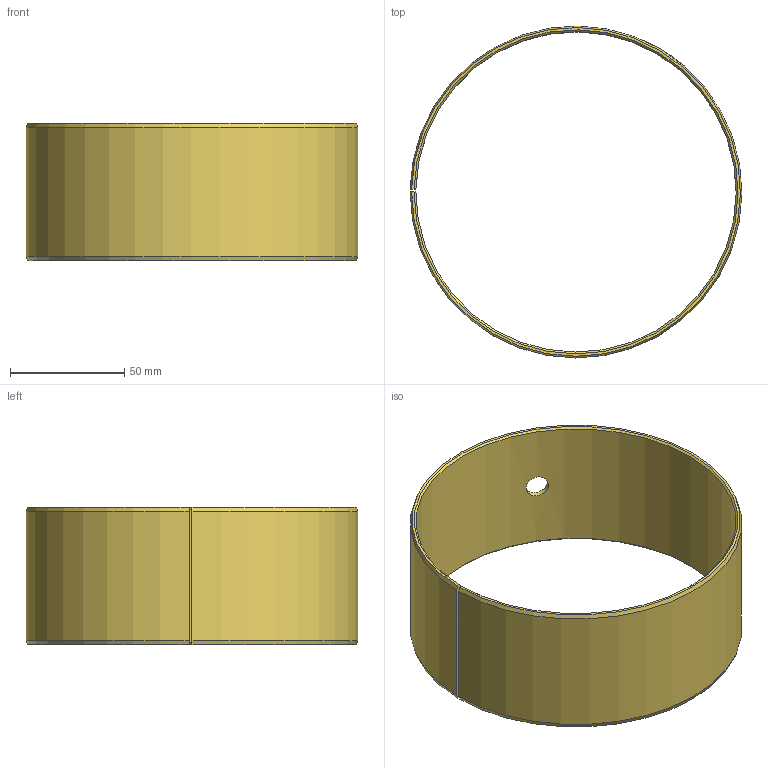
import cadquery as cq
import math

outer_diameter = 145.0
wall_thickness = 2.5
ring_height = 60.0
outer_chamfer_height = 1.8
outer_chamfer_angle = 20.0
inner_chamfer = 0.8
slit_angle = 1.0
hole_diameter = 10.0
start_angle = 180.0
hole_offset_angle = 120.0

outer_radius = outer_diameter / 2
inner_radius = outer_radius - wall_thickness
outer_chamfer_depth = outer_chamfer_height * math.tan(math.radians(outer_chamfer_angle))
sweep_angle = 360 - slit_angle
hole_angle = start_angle + sweep_angle - hole_offset_angle
hole_height = ring_height / 2
hole_cutter_length = outer_radius + wall_thickness


def make_ring():
    """Open ring with chamfered rims, swept about Z from the -X direction up to the slit."""
    section = [
        (inner_radius + inner_chamfer, 0),
        (outer_radius - outer_chamfer_depth, 0),
        (outer_radius, outer_chamfer_height),
        (outer_radius, ring_height - outer_chamfer_height),
        (outer_radius - outer_chamfer_depth, ring_height),
        (inner_radius + inner_chamfer, ring_height),
        (inner_radius, ring_height - inner_chamfer),
        (inner_radius, inner_chamfer),
    ]
    return (
        cq.Workplane("XZ")
        .polyline(section)
        .close()
        .revolve(sweep_angle, (0, 0, 0), (0, 1, 0))
        .rotate((0, 0, 0), (0, 0, 1), start_angle)
    )


def make_hole_cutter():
    """Radial cutter for the hole through one side of the wall at mid-height."""
    return (
        cq.Workplane("YZ")
        .center(0, hole_height)
        .circle(hole_diameter / 2)
        .extrude(hole_cutter_length)
        .rotate((0, 0, 0), (0, 0, 1), hole_angle)
    )


result = make_ring().cut(make_hole_cutter())